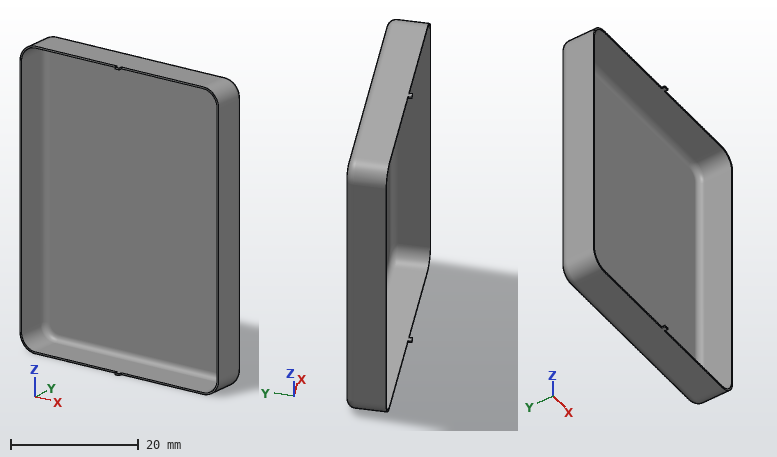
import cadquery as cq

width = 38.4
height = 51.1
total_depth = 7.1

wall = 0.3
corner_radius = 3.0
back_edge_radius = 1.4

tab_length = 0.6
tab_width = 0.8

tray_depth = total_depth - tab_length
back_y = total_depth / 2
rim_y = back_y - tray_depth


def rounded_block(inset):
    """Block from the rim to the back with rounded corners and back edge."""
    return (
        cq.Workplane("XZ", origin=(0, rim_y, 0))
        .rect(width - 2 * inset, height - 2 * inset)
        .extrude(-(tray_depth - inset))
        .edges("|Y")
        .fillet(corner_radius - inset)
        .faces(">Y")
        .edges()
        .fillet(back_edge_radius - inset)
    )


def rim_tab(side):
    """Tab at mid-width; side is +1 for the top wall and -1 for the bottom."""
    tab_y = rim_y - tab_length / 2
    tab_z = side * (height - wall) / 2
    return cq.Workplane(origin=(0, tab_y, tab_z)).box(tab_width, tab_length, wall)


result = rounded_block(0).cut(rounded_block(wall))

for side in (1, -1):
    result = result.union(rim_tab(side))